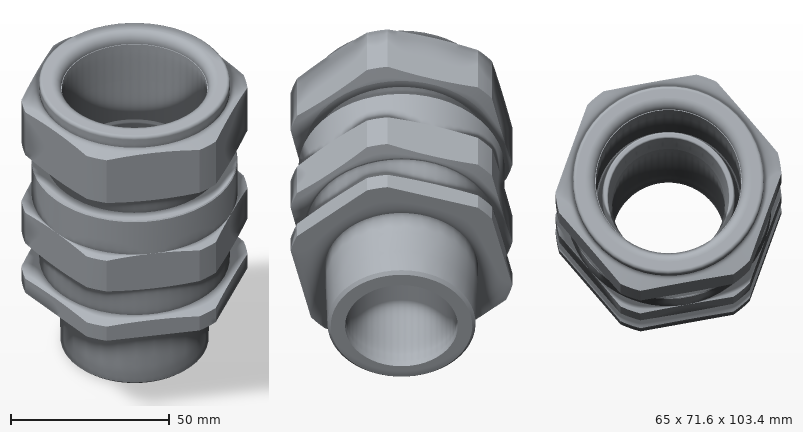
import cadquery as cq
import math

TOTAL_HEIGHT = 103.4
HEX_ACROSS_FLATS = 65.0
HEX_CORNER_RADIUS = 35.8
HALF_CORNER_ANGLE = 30.0
HEX_BEVEL_ANGLE = 15.0
ENTRY_BEVEL_ANGLE = 11.0

THREAD_TOP = 26.1
ENTRY_HEX_TOP = 32.9
MIDDLE_BOTTOM = 44.3
MIDDLE_HEX_TOP = 58.7
MIDDLE_SHOULDER = 71.8
NUT_BOTTOM = 79.4
NECK_TOP = 85.6
NUT_HEX_TOP = 99.2

COLLAR_RADIUS = 30.1
NECK_RADIUS = 28.0
SHOULDER_RADIUS = HEX_ACROSS_FLATS / 2
HEX_FACE_RADIUS = 30.6
MOUTH_RADIUS = 23.2
BORE_RADIUS = 22.9
HOLE_RADIUS = 17.8

COLLAR_EDGE_RADIUS = 1.0
MOUTH_FILLET = 3.1
MOUTH_DEPTH = 3.6
SHOULDER_CHAMFER = 0.3

THREAD_TOP_RADIUS = 24.2
THREAD_BOTTOM_RADIUS = 23.4
THREAD_CHAMFER = 1.0

CONE_TIP = MIDDLE_SHOULDER
CONE_HEIGHT = 10.3
CONE_TIP_RADIUS = 20.9
CONE_FOOT_RADIUS = 22.4
CONE_INNER_RADIUS = 19.1
CONE_EDGE_RADIUS = 0.5
FUNNEL_DEPTH = 12.4


def bevel_drop(start_radius, angle):
    """Height lost by a hexagon bevel between start_radius and the hexagon corners."""
    return (HEX_CORNER_RADIUS - start_radius) * math.tan(math.radians(angle))


def revolved(points):
    """Solid of revolution about Z from the corners (radius, height) of a closed outline."""
    return cq.Workplane("XZ").polyline(points).close().revolve(360, (0, 0, 0), (0, 1, 0))


def cylinder(radius, bottom, top):
    return cq.Workplane("XY").workplane(offset=bottom).circle(radius).extrude(top - bottom)


def hexagon(bottom, top, top_radius, bottom_radius=None, angle=HEX_BEVEL_ANGLE):
    """Hexagon with flats facing +X and -X, bevelled outside the given radii.

    Without a bottom_radius its underside stays flat.
    """
    corner_diameter = HEX_ACROSS_FLATS / math.cos(math.radians(HALF_CORNER_ANGLE))
    bar = cq.Workplane("XY").workplane(offset=bottom).transformed(rotate=(0, 0, HALF_CORNER_ANGLE))
    bar = bar.polygon(6, corner_diameter).extrude(top - bottom)
    outline = [
        (0, top),
        (top_radius, top),
        (HEX_CORNER_RADIUS, top - bevel_drop(top_radius, angle)),
    ]
    if bottom_radius is None:
        outline.append((HEX_CORNER_RADIUS, bottom))
    else:
        outline.append((HEX_CORNER_RADIUS, bottom + bevel_drop(bottom_radius, angle)))
        outline.append((bottom_radius, bottom))
    outline.append((0, bottom))
    return bar.intersect(revolved(outline))


def make_nut():
    """Cap nut: hexagon, collar with a rounded mouth, and a socket for the neck."""
    collar = cylinder(COLLAR_RADIUS, NUT_HEX_TOP, TOTAL_HEIGHT)
    nut = hexagon(NUT_BOTTOM, NUT_HEX_TOP, COLLAR_RADIUS, HEX_FACE_RADIUS).union(collar)
    nut = nut.cut(cylinder(BORE_RADIUS, NUT_BOTTOM, TOTAL_HEIGHT))
    nut = nut.cut(cylinder(MOUTH_RADIUS, TOTAL_HEIGHT - MOUTH_DEPTH, TOTAL_HEIGHT))
    nut = nut.cut(cylinder(NECK_RADIUS, NUT_BOTTOM, NECK_TOP))
    nut = nut.faces(">Z").edges(cq.selectors.RadiusNthSelector(0)).fillet(MOUTH_FILLET)
    return nut.faces(">Z").edges(cq.selectors.RadiusNthSelector(-1)).fillet(COLLAR_EDGE_RADIUS)


def make_middle():
    """Middle body: hexagon, round shoulder, and the neck that enters the nut."""
    shoulder = cylinder(SHOULDER_RADIUS, MIDDLE_HEX_TOP, MIDDLE_SHOULDER)
    shoulder = shoulder.faces(">Z").edges().chamfer(SHOULDER_CHAMFER)
    body = hexagon(MIDDLE_BOTTOM, MIDDLE_HEX_TOP, SHOULDER_RADIUS, HEX_FACE_RADIUS)
    body = body.union(shoulder).union(cylinder(NECK_RADIUS, MIDDLE_SHOULDER, NECK_TOP))
    return body.cut(cylinder(BORE_RADIUS, MIDDLE_BOTTOM, NECK_TOP))


def make_spigot():
    """Plug that fits the bore of the middle body, with a 45 degree step up to the clamping cone."""
    cone_foot = CONE_TIP - CONE_HEIGHT
    step = BORE_RADIUS - CONE_FOOT_RADIUS
    return revolved([
        (0, MIDDLE_BOTTOM),
        (BORE_RADIUS, MIDDLE_BOTTOM),
        (BORE_RADIUS, cone_foot - step),
        (CONE_FOOT_RADIUS, cone_foot),
        (CONE_TIP_RADIUS, CONE_TIP),
        (0, CONE_TIP),
    ])


def make_funnel():
    """Tapered opening from the cone tip down to the through hole."""
    return revolved([
        (0, CONE_TIP - FUNNEL_DEPTH),
        (HOLE_RADIUS, CONE_TIP - FUNNEL_DEPTH),
        (CONE_INNER_RADIUS, CONE_TIP),
        (0, CONE_TIP),
    ])


def make_entry():
    """Entry body: tapered thread blank, hexagon, collar, spigot and through hole."""
    thread = revolved([
        (0, 0),
        (THREAD_BOTTOM_RADIUS - THREAD_CHAMFER, 0),
        (THREAD_BOTTOM_RADIUS, THREAD_CHAMFER),
        (THREAD_TOP_RADIUS, THREAD_TOP),
        (0, THREAD_TOP),
    ])
    body = thread.union(hexagon(THREAD_TOP, ENTRY_HEX_TOP, COLLAR_RADIUS, angle=ENTRY_BEVEL_ANGLE))
    body = body.union(cylinder(COLLAR_RADIUS, ENTRY_HEX_TOP, MIDDLE_BOTTOM))
    body = body.union(make_spigot())
    body = body.cut(cylinder(HOLE_RADIUS, 0, CONE_TIP)).cut(make_funnel())
    return body.faces(">Z").edges().fillet(CONE_EDGE_RADIUS)


nut = make_nut()
middle = make_middle()
entry = make_entry()

bodies = [nut, middle, entry]
result = cq.Compound.makeCompound([body.solids().val() for body in bodies])